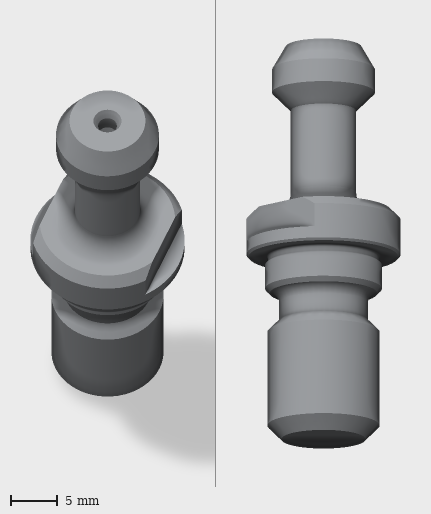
import cadquery as cq
import math


total_height = 43.0
head_rim_top = 40.5
head_rim_bottom = 38.0
flange_top = 25.0
flat_bottom = 21.5
flange_bottom = 20.0
pilot_top = 19.1
pilot_bottom = 16.0
relief_bottom = 13.0

head_diameter = 11.0
shank_diameter = 7.0
flange_diameter = 16.5
groove_diameter = 11.9
pilot_diameter = 12.5
relief_diameter = 9.5
thread_diameter = 12.0

head_top_angle = 30.0
shank_fillet = 2.0
flange_top_chamfer = 1.0
flange_bottom_chamfer = 0.25
groove_fillet = 0.2
pilot_top_chamfer_height = 0.25
relief_fillet = 1.0
thread_end_chamfer = 1.5

width_across_flats = 13.0
countersink_diameter = 3.0
centre_hole_diameter = 2.0
centre_hole_depth = 2.5
countersink_angle = 60.0
drill_tip_angle = 120.0

BELOW_SHOULDER = 1
ABOVE_SHOULDER = -1


def fillet_middle(centre_radius, centre_height, fillet, side):
    """Midpoint of a concave fillet; side is BELOW_SHOULDER or ABOVE_SHOULDER."""
    offset = fillet * math.sqrt(0.5)
    return (centre_radius - offset, centre_height + side * offset)


def cone_height(large_diameter, small_diameter, included_angle):
    """Axial length of a cone between two diameters."""
    return (large_diameter - small_diameter) / 2 / math.tan(math.radians(included_angle / 2))


def make_turned_body():
    """Revolve the half section, drawn from the threaded end up to the head."""
    head_r = head_diameter / 2
    shank_r = shank_diameter / 2
    flange_r = flange_diameter / 2
    groove_r = groove_diameter / 2
    pilot_r = pilot_diameter / 2
    relief_r = relief_diameter / 2
    thread_r = thread_diameter / 2

    head_top_r = head_r - (total_height - head_rim_top) * math.tan(math.radians(head_top_angle))
    shank_top = head_rim_bottom - (head_r - shank_r)
    thread_top = relief_bottom - (thread_r - relief_r)

    relief_fillet_r = relief_r + relief_fillet
    relief_fillet_start = pilot_bottom - relief_fillet
    groove_fillet_r = groove_r + groove_fillet
    groove_fillet_start = flange_bottom - groove_fillet
    shank_fillet_r = shank_r + shank_fillet
    shank_fillet_end = flange_top + shank_fillet

    pilot_bottom_chamfer = pilot_r - relief_fillet_r

    profile = cq.Workplane("XZ").moveTo(0, 0)
    profile = (
        profile.lineTo(thread_r - thread_end_chamfer, 0)
        .lineTo(thread_r, thread_end_chamfer)
        .lineTo(thread_r, thread_top)
        .lineTo(relief_r, relief_bottom)
        .lineTo(relief_r, relief_fillet_start)
        .threePointArc(
            fillet_middle(relief_fillet_r, relief_fillet_start, relief_fillet, BELOW_SHOULDER),
            (relief_fillet_r, pilot_bottom),
        )
    )
    profile = (
        profile.lineTo(pilot_r, pilot_bottom + pilot_bottom_chamfer)
        .lineTo(pilot_r, pilot_top)
        .lineTo(groove_r, pilot_top + pilot_top_chamfer_height)
        .lineTo(groove_r, groove_fillet_start)
        .threePointArc(
            fillet_middle(groove_fillet_r, groove_fillet_start, groove_fillet, BELOW_SHOULDER),
            (groove_fillet_r, flange_bottom),
        )
    )
    profile = (
        profile.lineTo(flange_r - flange_bottom_chamfer, flange_bottom)
        .lineTo(flange_r, flange_bottom + flange_bottom_chamfer)
        .lineTo(flange_r, flange_top - flange_top_chamfer)
        .lineTo(flange_r - flange_top_chamfer, flange_top)
        .lineTo(shank_fillet_r, flange_top)
    )
    profile = (
        profile.threePointArc(
            fillet_middle(shank_fillet_r, shank_fillet_end, shank_fillet, ABOVE_SHOULDER),
            (shank_r, shank_fillet_end),
        )
        .lineTo(shank_r, shank_top)
        .lineTo(head_r, head_rim_bottom)
        .lineTo(head_r, head_rim_top)
        .lineTo(head_top_r, total_height)
        .lineTo(0, total_height)
        .close()
    )
    return profile.revolve(360, (0, 0), (0, 1))


def make_flat_cutter(side):
    """Block that trims the flange to a wrench flat on the +X (1) or -X (-1) side."""
    depth = (flange_diameter - width_across_flats) / 2
    centre_x = side * (width_across_flats / 2 + depth / 2)
    return (
        cq.Workplane("XY", origin=(0, 0, flat_bottom))
        .center(centre_x, 0)
        .rect(depth, flange_diameter)
        .extrude(flange_top - flat_bottom)
    )


def make_centre_hole():
    """Countersunk blind centre hole with a drill-point end, in the head's top face."""
    countersink_r = countersink_diameter / 2
    hole_r = centre_hole_diameter / 2
    countersink_end = total_height - cone_height(
        countersink_diameter, centre_hole_diameter, countersink_angle
    )
    bore_end = total_height - centre_hole_depth
    tip = bore_end - cone_height(centre_hole_diameter, 0, drill_tip_angle)
    return (
        cq.Workplane("XZ")
        .moveTo(0, total_height)
        .lineTo(countersink_r, total_height)
        .lineTo(hole_r, countersink_end)
        .lineTo(hole_r, bore_end)
        .lineTo(0, tip)
        .close()
        .revolve(360, (0, 0), (0, 1))
    )


result = make_turned_body()
for side in (1, -1):
    result = result.cut(make_flat_cutter(side))
result = result.cut(make_centre_hole())